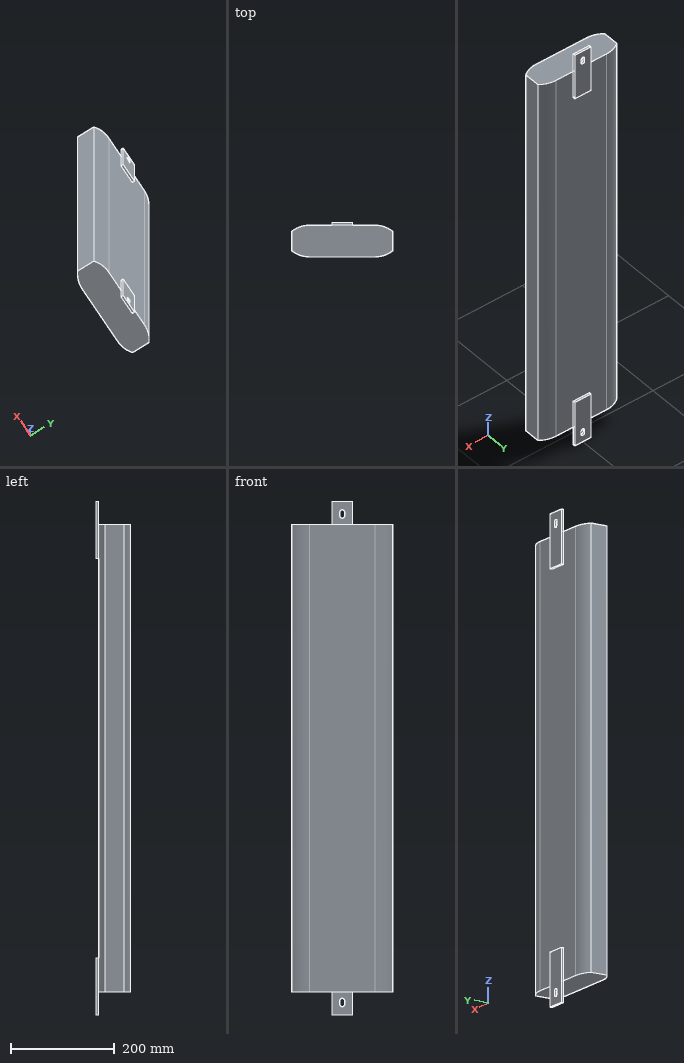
import cadquery as cq
import math

housing_width = 195.0
housing_depth = 61.5
housing_height = 900.0
corner_radius = 56.0
corner_depth = 12.1

tab_width = 40.0
tab_thickness = 5.0
tab_projection = 44.0
tab_overlap = 66.0

slot_width = 9.0
slot_length = 15.5
slot_offset = 24.25

half_width = housing_width / 2
half_height = housing_height / 2
front_y = -housing_depth / 2
back_y = housing_depth / 2


def arc_drop(run):
    """Distance the corner arc falls below its flat face after a run along X."""
    return corner_radius - math.sqrt(corner_radius**2 - run**2)


def make_housing():
    """Each corner arc is tangent to the front or back face and meets the side at an edge."""
    corner_run = math.sqrt(corner_radius**2 - (corner_radius - corner_depth) ** 2)
    flat_x = half_width - corner_run
    middle_x = half_width - corner_run / 2
    middle_drop = arc_drop(corner_run / 2)
    side_front_y = front_y + corner_depth
    side_back_y = back_y - corner_depth
    return (
        cq.Workplane("XY")
        .workplane(offset=-half_height)
        .moveTo(-flat_x, front_y)
        .lineTo(flat_x, front_y)
        .threePointArc((middle_x, front_y + middle_drop), (half_width, side_front_y))
        .lineTo(half_width, side_back_y)
        .threePointArc((middle_x, back_y - middle_drop), (flat_x, back_y))
        .lineTo(-flat_x, back_y)
        .threePointArc((-middle_x, back_y - middle_drop), (-half_width, side_back_y))
        .lineTo(-half_width, side_front_y)
        .threePointArc((-middle_x, front_y + middle_drop), (-flat_x, front_y))
        .close()
        .extrude(housing_height)
    )


def make_tab(end):
    """Slotted tab at the top (end = 1) or the bottom (end = -1) of the housing."""
    tab_length = tab_projection + tab_overlap
    outer_z = half_height + tab_projection
    tab_y = back_y + tab_thickness / 2
    strip = cq.Workplane("XY").box(tab_width, tab_thickness, tab_length)
    strip = strip.translate((0, tab_y, end * (outer_z - tab_length / 2)))
    slot = (
        cq.Workplane("XZ")
        .slot2D(slot_length, slot_width, 90)
        .extrude(tab_thickness, both=True)
        .translate((0, tab_y, end * (outer_z - slot_offset)))
    )
    return strip.cut(slot)


result = make_housing()
for end in (1, -1):
    result = result.union(make_tab(end))